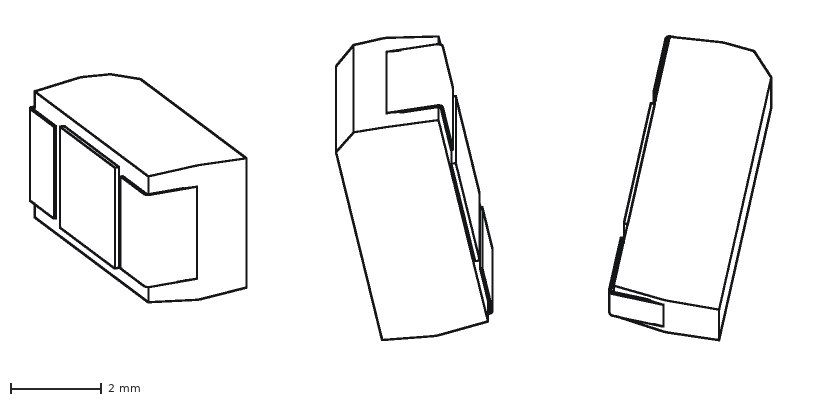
import cadquery as cq
import math

case_length = 6.0
case_height = 3.2
case_depth = 2.4
band_width = 0.095
front_draft = 5.0
back_draft = 3.0
polarity_chamfer = 0.5

pad_length = 2.8
pad_height = 2.4
pad_thickness = 0.1

lead_thickness = 0.05
lead_height = 2.19
lead_foot_length = 1.295
bend_radius = 0.1

case_front = pad_thickness
case_back = case_front + case_depth
half_depth = (case_depth - band_width) / 2
band_front = case_front + half_depth
band_back = band_front + band_width

half_length = case_length / 2
back_inset = half_depth * math.tan(math.radians(back_draft))


def case_section(y):
    """Full case rectangle in the XZ plane at the given Y; positive extrusion runs toward -Y."""
    return cq.Workplane("XZ", origin=(0, y, 0)).rect(case_length, case_height)


def polarity_bevel():
    """Wedge that removes the back -X edge along the whole case height."""
    bevel_front = case_back - polarity_chamfer
    wall_x = -half_length + back_inset * (bevel_front - band_back) / half_depth
    overshoot = polarity_chamfer
    return (
        cq.Workplane("XY")
        .moveTo(wall_x - overshoot, bevel_front - overshoot)
        .lineTo(wall_x + polarity_chamfer + overshoot, case_back + overshoot)
        .lineTo(wall_x - overshoot, case_back + overshoot)
        .close()
        .extrude(case_height / 2, both=True)
    )


def make_lead(side):
    """L-shaped lead: a leg up the case end and a foot on the mounting plane; side is -1 or 1."""
    outer_x = side * half_length
    inner_x = side * (half_length - lead_thickness)
    bend_x = side * (half_length - bend_radius)
    foot_x = side * (half_length - lead_foot_length)
    inner_radius = bend_radius - lead_thickness

    def bend_middle(radius):
        offset = radius * math.sqrt(0.5)
        return (bend_x + side * offset, bend_radius - offset)

    return (
        cq.Workplane("XY")
        .moveTo(foot_x, 0)
        .lineTo(bend_x, 0)
        .threePointArc(bend_middle(bend_radius), (outer_x, bend_radius))
        .lineTo(outer_x, band_front)
        .lineTo(inner_x, band_front)
        .lineTo(inner_x, bend_radius)
        .threePointArc(bend_middle(inner_radius), (bend_x, lead_thickness))
        .lineTo(foot_x, lead_thickness)
        .close()
        .extrude(lead_height / 2, both=True)
    )


def make_case(leads):
    """Drafted case with its pad, bevel and the recesses that hold the lead legs."""
    front_half = case_section(band_front).extrude(half_depth, taper=front_draft)
    band = case_section(band_back).extrude(band_width)
    back_half = case_section(band_back).extrude(-half_depth, taper=back_draft)
    pad = cq.Workplane("XZ", origin=(0, case_front, 0)).rect(pad_length, pad_height).extrude(pad_thickness)
    case = band.union(front_half).union(back_half).union(pad).cut(polarity_bevel())
    for lead in leads:
        case = case.cut(lead)
    return case.solids()


leads = [make_lead(side) for side in (-1, 1)]
case = make_case(leads)

result = cq.Compound.makeCompound([case.val(), *[lead.val() for lead in leads]])